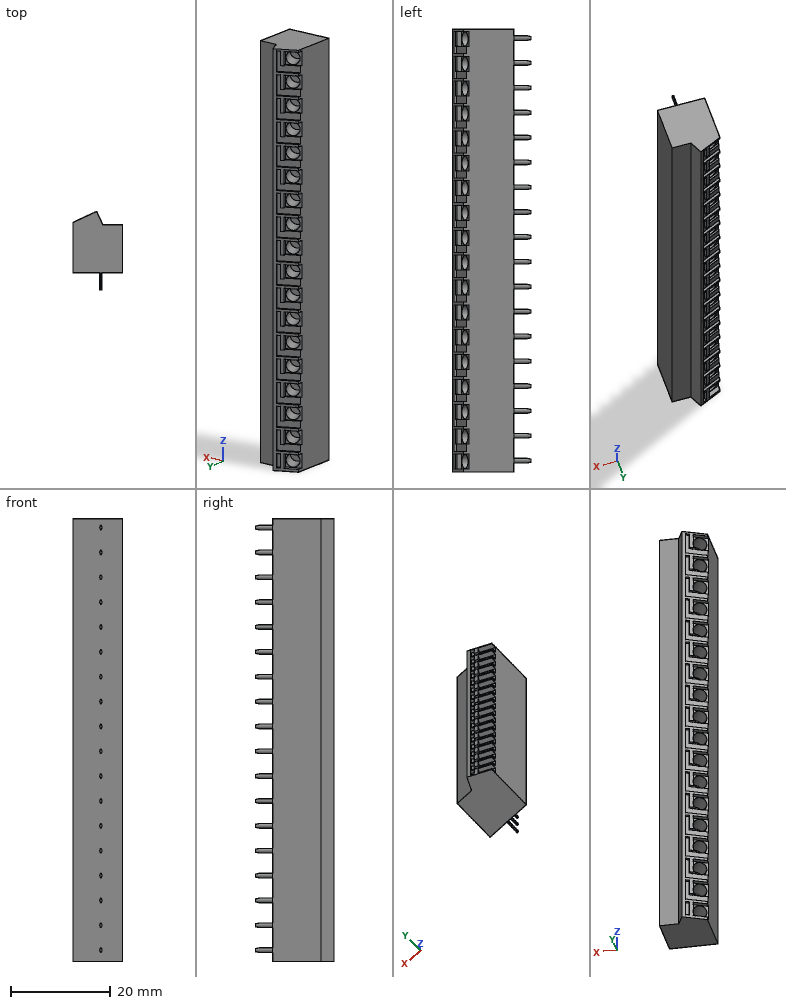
import cadquery as cq
import math

length = 89.1
width = 10.0
pole_count = 18

left_wall_height = 10.2
shoulder_height = 9.7
peak_height = 12.4
slope_angle = math.radians(25)

first_pin_drop = 1.8
last_pin_rise = 2.3
pin_x = 5.6
pin_length = 3.5
pin_thickness = 0.45
pin_height = 1.0
pin_tip_height = 0.6
pin_tip_length = 0.8

wire_recess_drop = 0.45
wire_recess_height = 3.0
wire_recess_end = 2.9
wire_recess_depth = 1.0
wire_hole_diameter = 2.85
wire_hole_along = 1.3
wire_hole_depth = 5.0
slot_start = 3.7
slot_end = 4.5
shallow_depth = 0.57
side_recess_height = 1.4
overrun = 1.8

pole_pitch = (length - first_pin_drop - last_pin_rise) / (pole_count - 1)
peak_x = (peak_height - left_wall_height) / math.tan(slope_angle)
shoulder_x = peak_x + (peak_height - shoulder_height) * math.tan(slope_angle)


def make_housing():
    """Plain bar with the peaked cross-section."""
    return (
        cq.Workplane("XY")
        .polyline([
            (0, 0),
            (width, 0),
            (width, shoulder_height),
            (shoulder_x, shoulder_height),
            (peak_x, peak_height),
            (0, left_wall_height),
        ])
        .close()
        .extrude(length)
    )


def make_pin(z):
    """Pin centred at height z: two bulging sides meet in sharp edges, bevelled toward the tip."""
    half_thickness = pin_thickness / 2
    half_height = pin_height / 2
    half_tip = pin_tip_height / 2
    bevel_y = pin_tip_length - pin_length
    blade = (
        cq.Workplane("XZ", origin=(pin_x, 0, z))
        .moveTo(0, -half_height)
        .threePointArc((half_thickness, 0), (0, half_height))
        .threePointArc((-half_thickness, 0), (0, -half_height))
        .close()
        .extrude(pin_length)
    )
    side_outline = (
        cq.Workplane("YZ", origin=(pin_x, 0, z))
        .polyline([
            (0, half_height),
            (bevel_y, half_height),
            (-pin_length, half_tip),
            (-pin_length, -half_tip),
            (bevel_y, -half_height),
            (0, -half_height),
        ])
        .close()
        .extrude(pin_thickness, both=True)
    )
    return blade.intersect(side_outline)


def slope_plane(z):
    """Sloped face at height z: local x runs up the slope, local y runs down along -Z."""
    up_slope = (math.cos(slope_angle), math.sin(slope_angle), 0)
    outward = (-math.sin(slope_angle), math.cos(slope_angle), 0)
    return cq.Plane(origin=(0, left_wall_height, z), xDir=up_slope, normal=outward)


def recess(z, start, end, drop, height, depth):
    """Rectangular cutter sunk square to the sloped face, starting the given drop below z."""
    return (
        cq.Workplane(slope_plane(z))
        .moveTo(start, drop)
        .rect(end - start, height, centered=False)
        .extrude(-depth)
    )


def entry_cutter(z):
    """Wire recess with its round hole, and the slot above it, for the pole whose top is at z."""
    wire_recess = recess(
        z, -overrun, wire_recess_end, wire_recess_drop, wire_recess_height, wire_recess_depth
    )
    wire_hole = (
        cq.Workplane(slope_plane(z))
        .center(wire_hole_along, wire_recess_drop + wire_recess_height / 2)
        .circle(wire_hole_diameter / 2)
        .extrude(-wire_hole_depth)
    )
    slot = recess(z, slot_start, slot_end, wire_recess_drop, wire_recess_height, shallow_depth)
    return wire_recess.union(wire_hole).union(slot)


def side_recess(z):
    """Shallow recess between one pole and the next."""
    drop = wire_recess_drop + wire_recess_height
    return recess(z, -overrun, slot_end, drop, side_recess_height, shallow_depth)


result = make_housing()
for pole in range(pole_count):
    pole_top = length - pole * pole_pitch
    result = result.cut(entry_cutter(pole_top))
    if pole < pole_count - 1:
        result = result.cut(side_recess(pole_top))
    result = result.union(make_pin(pole_top - first_pin_drop))